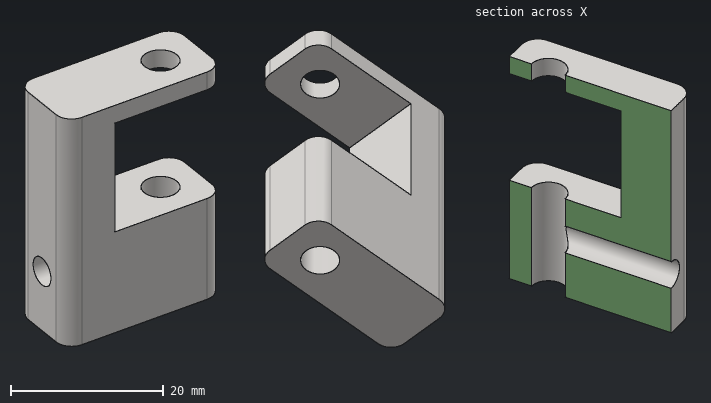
import cadquery as cq

width = 11.5
depth = 24.75
height = 35.5
corner_radius = 2.5

top_plate_thickness = 2.8
lower_block_height = 15.75
opening_depth = 17.05

pin_hole_diameter = 5.1
pin_hole_from_back = 6.0

side_hole_diameter = 4.2
side_hole_height = 9.25

front_y = -depth / 2
back_y = depth / 2
pin_hole_y = back_y - pin_hole_from_back


def make_block():
    block = cq.Workplane("XY").box(width, depth, height, centered=(True, True, False))
    return block.edges("|Z").fillet(corner_radius)


def make_opening():
    opening_height = height - top_plate_thickness - lower_block_height
    opening = cq.Workplane("XY").box(width, opening_depth, opening_height, centered=(True, False, False))
    return opening.translate((0, back_y - opening_depth, lower_block_height))


def make_pin_hole():
    return cq.Workplane("XY").center(0, pin_hole_y).circle(pin_hole_diameter / 2).extrude(height)


def make_side_hole():
    plane = cq.Workplane("XZ", origin=(0, front_y, side_hole_height))
    return plane.circle(side_hole_diameter / 2).extrude(-(pin_hole_y - front_y))


result = make_block().cut(make_opening()).cut(make_pin_hole()).cut(make_side_hole())